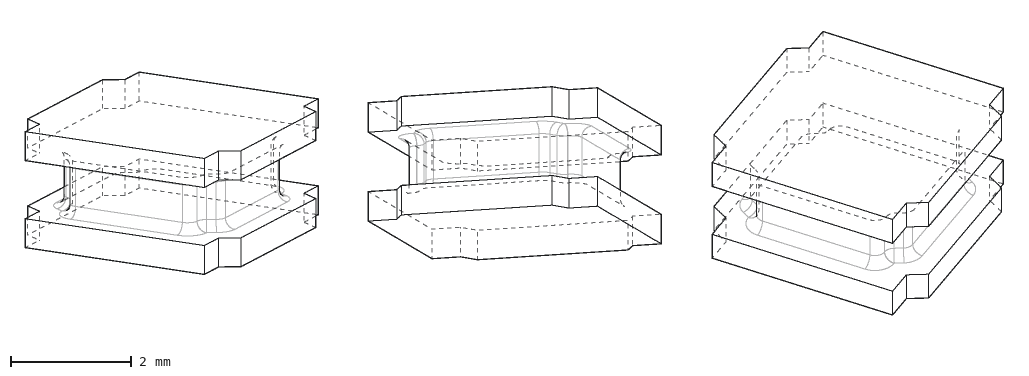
import cadquery as cq
import math

WIDTH = 4.0
HEIGHT = 2.0
FLANGE_THICKNESS = 0.5

NOTCH_DEPTH_X = 0.32
NOTCH_DEPTH_Y = 0.5
NOTCH_SLOPE = math.radians(30)

CORE_INSET = 0.5
CORE_CORNER_RADIUS = 0.18
CORE_BLEND_RADIUS = 0.175

CORE_HEIGHT = HEIGHT - 2 * FLANGE_THICKNESS


def notched_square(inset):
    """Points of the notched square, with every side moved inward by inset."""
    half = WIDTH / 2 - inset
    notch_x = WIDTH / 2 - NOTCH_DEPTH_X - inset
    slope_drop = inset / math.cos(NOTCH_SLOPE) - inset * math.tan(NOTCH_SLOPE)
    inner_y = WIDTH / 2 - NOTCH_DEPTH_Y - slope_drop
    outer_y = inner_y - NOTCH_DEPTH_X * math.tan(NOTCH_SLOPE)
    corner = [(half, outer_y), (notch_x, inner_y), (notch_x, half)]
    mirrored = [(-x, y) for x, y in reversed(corner)]
    upper = corner + mirrored
    return upper + [(-x, -y) for x, y in upper]


def flange(bottom):
    return (
        cq.Workplane("XY", origin=(0, 0, bottom))
        .polyline(notched_square(0))
        .close()
        .extrude(FLANGE_THICKNESS)
    )


def core():
    return (
        cq.Workplane("XY", origin=(0, 0, -CORE_HEIGHT / 2))
        .polyline(notched_square(CORE_INSET))
        .close()
        .extrude(CORE_HEIGHT)
        .edges("|Z")
        .fillet(CORE_CORNER_RADIUS)
    )


def core_junction(z):
    """Box that contains only the edges where the core meets a flange."""
    reach = WIDTH / 2 - CORE_INSET / 2
    margin = FLANGE_THICKNESS / 4
    return cq.selectors.BoxSelector(
        (-reach, -reach, z - margin), (reach, reach, z + margin), boundingbox=True
    )


body = core().union(flange(CORE_HEIGHT / 2)).union(flange(-HEIGHT / 2))

for junction_z in (-CORE_HEIGHT / 2, CORE_HEIGHT / 2):
    body = body.edges(core_junction(junction_z)).fillet(CORE_BLEND_RADIUS)

result = body